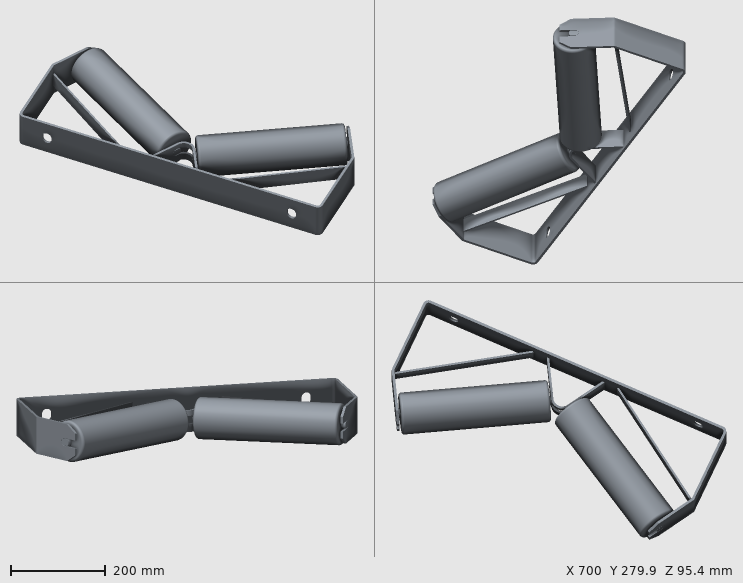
import cadquery as cq
import math

frame_width = 700.0
strip_height = 80.0
strip_thickness = 5.5
bend_height = 173.5
arm_length = 116.0
arm_angle = 60.0
corner_radius = 12.0
arm_bend_radius = 8.5
tip_bevel_length = 24.5
tip_bevel_height = 16.0

mount_spacing = 565.5
mount_width = 21.0
mount_height = 26.5

brace_thickness = 4.0
brace_height = 33.5
brace_angle = 33.7
brace_length = 297.5

saddle_thickness = 5.0
saddle_height = 47.0
saddle_drop = 10.0
saddle_radius = 24.0

roller_diameter = 89.0
roller_length = 316.0
roller_edge_radius = 5.5
roller_tilt = 1.2
shaft_diameter = 20.0
shaft_flat_width = 14.0
flat_relief = 1.0
bracket_gap = 323.5
seat_distance = 86.0
slot_width = 17.5
slot_margin = 11.0

sides = (-1, 1)
arm_cos = math.cos(math.radians(arm_angle))
arm_sin = math.sin(math.radians(arm_angle))
half_width = frame_width / 2
inner_half_width = half_width - strip_thickness
saddle_start = strip_thickness + bracket_gap
shaft_length = saddle_start + saddle_thickness

arm_face_offset = half_width * arm_sin + bend_height * arm_cos
saddle_peak = (arm_face_offset - saddle_start) / arm_cos


def arm_point(side, distance):
    """Point on the outer face of an arm, measured along the arm from its bend."""
    return (side * (half_width - distance * arm_cos), bend_height + distance * arm_sin, 0)


def arm_plane(side, distance, tilt_degrees):
    """Plane on the arm's outer face: x toward the tip, normal inward and tilted down."""
    tilt = math.radians(tilt_degrees)
    inward = (-side * arm_sin * math.cos(tilt), -arm_cos * math.cos(tilt), -math.sin(tilt))
    return cq.Plane(
        origin=arm_point(side, distance),
        xDir=(-side * arm_cos, arm_sin, 0),
        normal=inward,
    )


def roller_workplane(side, offset=0.0):
    """Workplane across the roller axis, offset from the outer face of the arm."""
    return cq.Workplane(arm_plane(side, seat_distance, roller_tilt)).workplane(offset=offset)


def upright_prism(points, height):
    """Plan outline extruded evenly above and below Z = 0."""
    return cq.Workplane("XY").polyline(points).close().extrude(height / 2, both=True)


def round_bend(body, point, radius):
    """Fillet the upright edge that passes through a plan point."""
    return body.edges(cq.selectors.NearestToPointSelector((*point, 0))).fillet(radius)


def shaft_slot(side, start, depth):
    """Round-ended slot through a bracket, open toward the arm tip.

    The edges of the shaft flats rest on the round end.
    """
    radius = slot_width / 2
    half_flat = shaft_flat_width / 2
    flat_edge = math.sqrt((shaft_diameter / 2) ** 2 - half_flat ** 2)
    round_center = math.sqrt(radius ** 2 - half_flat ** 2) - flat_edge
    return (
        roller_workplane(side, start - slot_margin)
        .moveTo(arm_length, -radius)
        .lineTo(round_center, -radius)
        .threePointArc((round_center - radius, 0), (round_center, radius))
        .lineTo(arm_length, radius)
        .close()
        .extrude(depth + 2 * slot_margin)
    )


def bent_strip():
    """The flat bar: base, two side walls and two inclined arms."""
    t = strip_thickness
    half_turn = math.radians(90 - arm_angle) / 2
    inner_bend_height = bend_height - t * math.tan(half_turn)
    tip_x, tip_y, _ = arm_point(1, arm_length)
    right = [
        (half_width, 0),
        (half_width, bend_height),
        (tip_x, tip_y),
        (tip_x - t * arm_sin, tip_y - t * arm_cos),
        (inner_half_width, inner_bend_height),
        (inner_half_width, t),
    ]
    left = [(-x, y) for x, y in reversed(right)]
    body = upright_prism(right + left, strip_height)
    for side in sides:
        body = round_bend(body, (side * half_width, 0), corner_radius)
        body = round_bend(body, (side * inner_half_width, t), corner_radius - t)
        body = round_bend(body, (side * half_width, bend_height), arm_bend_radius)
        body = round_bend(body, (side * inner_half_width, inner_bend_height), arm_bend_radius - t)
    return body


def tip_bevels(side):
    """Two wedges that bevel the corners of an arm tip."""
    top = strip_height / 2
    wedges = cq.Workplane(arm_plane(side, arm_length, 0))
    for end in (-1, 1):
        wedges = (
            wedges.moveTo(0, end * top)
            .lineTo(-tip_bevel_length, end * top)
            .lineTo(0, end * (top - tip_bevel_height))
            .close()
        )
    return wedges.extrude(strip_thickness)


def brace(side):
    """Square-ended flat bar from the inside of an arm bend to the base."""
    brace_cos = math.cos(math.radians(brace_angle))
    brace_sin = math.sin(math.radians(brace_angle))
    foot_x = inner_half_width - brace_length * brace_cos
    foot_y = bend_height - brace_length * brace_sin
    shift_x = brace_thickness * brace_sin
    shift_y = -brace_thickness * brace_cos
    points = [
        (inner_half_width, bend_height),
        (foot_x, foot_y),
        (foot_x + shift_x, foot_y + shift_y),
        (inner_half_width + shift_x, bend_height + shift_y),
    ]
    return upright_prism([(side * x, y) for x, y in points], brace_height)


def mounting_slots():
    return (
        cq.Workplane("XZ")
        .pushPoints([(side * mount_spacing / 2, 0) for side in sides])
        .slot2D(mount_height, mount_width, 90)
        .extrude(-strip_thickness)
    )


def make_frame():
    body = bent_strip()
    for side in sides:
        body = body.union(brace(side))
        body = body.cut(tip_bevels(side))
        body = body.cut(shaft_slot(side, 0, strip_thickness))
    return body.cut(mounting_slots())


def make_saddle():
    """Inverted V standing on the base, with one slot over its peak for both shafts."""
    slope = arm_sin / arm_cos
    foot_y = strip_thickness
    inner_peak = saddle_peak - saddle_thickness / arm_cos
    outer_foot = (saddle_peak - foot_y) / slope
    inner_foot = (inner_peak - foot_y) / slope
    points = [
        (-outer_foot, foot_y),
        (0, saddle_peak),
        (outer_foot, foot_y),
        (inner_foot, foot_y),
        (0, inner_peak),
        (-inner_foot, foot_y),
    ]
    body = upright_prism(points, saddle_height).translate((0, 0, -saddle_drop))
    body = round_bend(body, (0, saddle_peak), saddle_radius)
    body = round_bend(body, (0, inner_peak), saddle_radius - saddle_thickness)
    for side in sides:
        body = body.cut(shaft_slot(side, saddle_start, saddle_thickness))
    return body


def shaft_section(side, start, end):
    return roller_workplane(side, start).circle(shaft_diameter / 2).extrude(end - start)


def flatted_section(side, start, end):
    flats = roller_workplane(side, start).rect(shaft_diameter, shaft_flat_width).extrude(end - start)
    return shaft_section(side, start, end).intersect(flats)


def make_roller(side):
    """Shell centred between the brackets, on a shaft whose flatted ends lie in the slots."""
    shell_start = strip_thickness + (bracket_gap - roller_length) / 2
    shell = (
        roller_workplane(side, shell_start)
        .circle(roller_diameter / 2)
        .extrude(roller_length)
        .edges()
        .fillet(roller_edge_radius)
    )
    round_start = strip_thickness + flat_relief
    round_end = saddle_start - flat_relief
    return (
        shell.union(shaft_section(side, round_start, round_end))
        .union(flatted_section(side, 0, round_start))
        .union(flatted_section(side, round_end, shaft_length))
    )


frame = make_frame()
saddle = make_saddle()
rollers = [make_roller(side) for side in sides]

result = cq.Compound.makeCompound([frame.val(), saddle.val(), *[roller.val() for roller in rollers]])